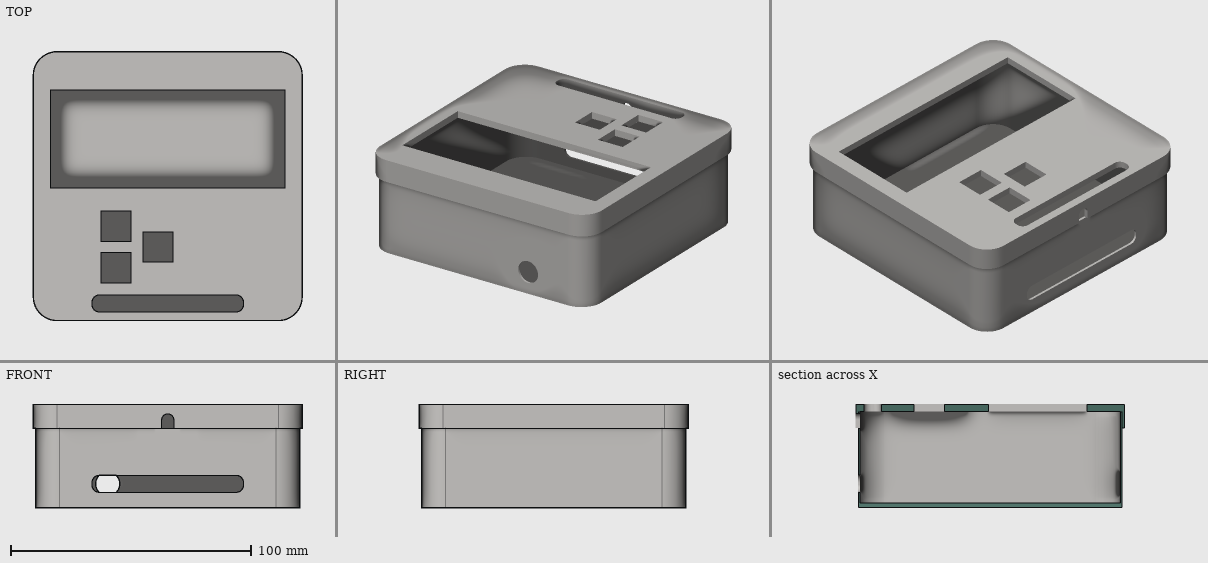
import cadquery as cq

lid_width = 112.0
total_height = 43.0
skirt_height = 10.0
corner_radius = 10.0

skirt_wall = 1.0
base_wall = 1.0
floor_thickness = 2.0
plate_thickness = 3.0

base_width = lid_width - 2 * skirt_wall
cavity_width = base_width - 2 * base_wall
base_height = total_height - plate_thickness
skirt_bottom = total_height - skirt_height

slot_length = 63.0
slot_width = 7.0
slot_corner_radius = 3.0
lid_slot_y = -48.8
front_slot_z = 10.0

notch_width = 5.0
notch_height = 6.0

back_hole_diameter = 10.0
back_hole_x = -25.0
back_hole_z = front_slot_z

window_length = 97.5
window_width = 40.8
window_y = 19.7
button_size = 12.5
button_centers = [(-21.5, -16.7), (-21.5, -33.9), (-4.0, -25.3)]


def rounded_block(width, bottom, top):
    """Square block, centred on Z, with rounded vertical corners."""
    block = cq.Workplane("XY").workplane(offset=bottom).rect(width, width).extrude(top - bottom)
    return block.edges("|Z").fillet(corner_radius)


def rounded_slot(plane, center_height, depth):
    """Slot cutter along X with rounded corners, extruded along the normal of its plane."""
    slot = plane.center(0, center_height).rect(slot_length, slot_width).extrude(depth)
    normal = plane.plane.zDir
    return slot.edges(cq.selectors.ParallelDirSelector(normal)).fillet(slot_corner_radius)


def cable_notch():
    """Round-topped cutter that starts at the skirt's lower edge and crosses the front walls."""
    radius = notch_width / 2
    side_top = skirt_bottom + notch_height - radius
    return (
        cq.Workplane("XZ")
        .moveTo(-radius, skirt_bottom)
        .lineTo(radius, skirt_bottom)
        .lineTo(radius, side_top)
        .threePointArc((0, side_top + radius), (-radius, side_top))
        .close()
        .extrude(lid_width / 2)
    )


def make_base():
    """Open box with a front slot, a back hole and a notch in its rim."""
    cavity = rounded_block(cavity_width, floor_thickness, base_height)
    front_slot = rounded_slot(cq.Workplane("XZ"), front_slot_z, lid_width / 2)
    back_hole = (
        cq.Workplane("XZ")
        .center(back_hole_x, back_hole_z)
        .circle(back_hole_diameter / 2)
        .extrude(-lid_width / 2)
    )
    base = rounded_block(base_width, 0, base_height).cut(cavity)
    return base.cut(front_slot).cut(back_hole).cut(cable_notch())


def make_lid():
    """Cap with a skirt around the base rim and openings through its plate."""
    recess = rounded_block(base_width, skirt_bottom, base_height)
    plate = cq.Workplane("XY").workplane(offset=base_height)
    window = plate.center(0, window_y).rect(window_length, window_width).extrude(plate_thickness)
    buttons = plate.pushPoints(button_centers).rect(button_size, button_size).extrude(plate_thickness)
    lid_slot = rounded_slot(plate, lid_slot_y, plate_thickness)
    lid = rounded_block(lid_width, skirt_bottom, total_height).cut(recess)
    return lid.cut(window).cut(buttons).cut(lid_slot).cut(cable_notch())


base = make_base()
lid = make_lid()

result = cq.Compound.makeCompound([base.val(), lid.val()])